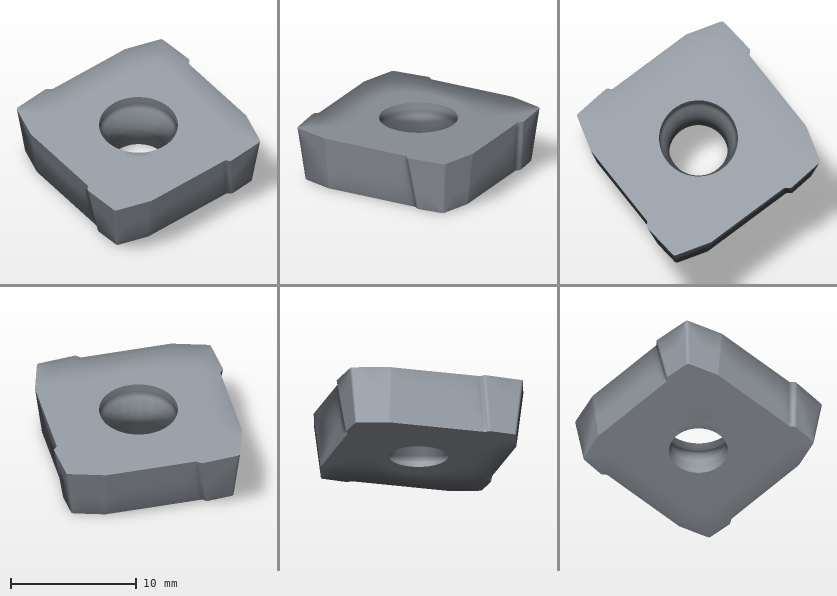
import cadquery as cq
import math

THICKNESS = 4.5
QUARTERS = 4

CLEARANCE = 7.0
STEP_CLEARANCE = 10.5
FLAT_NORMAL = -90.0
FLAT_DISTANCE = 7.43
WIPER_TILT = 5.0
WIPER_DISTANCE = 8.027
END_TILT = 16.5
END_DISTANCE = 8.39
STEP_TILT = 45.0
STEP_DISTANCE = 3.16
EDGE_RADIUS = 0.25

QUARTER_SIDES = [
    (FLAT_NORMAL, FLAT_DISTANCE, CLEARANCE),
    (FLAT_NORMAL - STEP_TILT, STEP_DISTANCE, STEP_CLEARANCE),
    (FLAT_NORMAL + WIPER_TILT, WIPER_DISTANCE, CLEARANCE),
    (-END_TILT, END_DISTANCE, CLEARANCE),
]

BORE_RADIUS = 4.7 / 2
MOUTH_RADIUS = 6.3 / 2
BORE_TOP_DEPTH = 3.0
SEAT_RADIUS = 3.0
SEAT_BLEND_RADIUS = 0.5


def crossing(side, next_side):
    """Point where two sides, each (normal angle, distance), meet."""
    angle_a, distance_a = math.radians(side[0]), side[1]
    angle_b, distance_b = math.radians(next_side[0]), next_side[1]
    spread = math.sin(angle_b - angle_a)
    x = (distance_a * math.sin(angle_b) - distance_b * math.sin(angle_a)) / spread
    y = (distance_b * math.cos(angle_a) - distance_a * math.cos(angle_b)) / spread
    return x, y


def outline_corners(depth):
    """Sharp corners of the outline at a depth below the top face."""
    sides = []
    for quarter in range(QUARTERS):
        turn = quarter * 360.0 / QUARTERS
        for normal, distance, clearance in QUARTER_SIDES:
            inset = depth * math.tan(math.radians(clearance))
            sides.append((normal + turn, distance - inset))
    return [crossing(side, sides[i - 1]) for i, side in enumerate(sides)]


def make_body():
    """Tapered block from the bottom outline (Z = 0) to the top outline."""
    body = (
        cq.Workplane("XY")
        .polyline(outline_corners(THICKNESS)).close()
        .workplane(offset=THICKNESS)
        .polyline(outline_corners(0.0)).close()
        .loft(ruled=True)
    )
    upright_edges = body.edges("not(<Z or >Z)")
    return upright_edges.fillet(EDGE_RADIUS)


def make_screw_hole():
    """Straight mouth, small concave blend, convex flared seat, straight bore."""
    bore_top = THICKNESS - BORE_TOP_DEPTH
    seat_center_r = BORE_RADIUS + SEAT_RADIUS
    blend_center_r = MOUTH_RADIUS - SEAT_BLEND_RADIUS

    center_gap = SEAT_RADIUS + SEAT_BLEND_RADIUS
    touch_angle = math.acos((seat_center_r - blend_center_r) / center_gap)
    blend_center_z = bore_top + center_gap * math.sin(touch_angle)

    def on_seat(angle):
        r = seat_center_r - SEAT_RADIUS * math.cos(angle)
        z = bore_top + SEAT_RADIUS * math.sin(angle)
        return r, z

    def on_blend(angle):
        r = blend_center_r + SEAT_BLEND_RADIUS * math.cos(angle)
        z = blend_center_z - SEAT_BLEND_RADIUS * math.sin(angle)
        return r, z

    return (
        cq.Workplane("XZ")
        .moveTo(0, 0)
        .lineTo(BORE_RADIUS, 0)
        .lineTo(BORE_RADIUS, bore_top)
        .threePointArc(on_seat(touch_angle / 2), on_seat(touch_angle))
        .threePointArc(on_blend(touch_angle / 2), on_blend(0))
        .lineTo(MOUTH_RADIUS, THICKNESS)
        .lineTo(0, THICKNESS)
        .close()
        .revolve(360, (0, 0), (0, 1))
    )


result = make_body().cut(make_screw_hole())